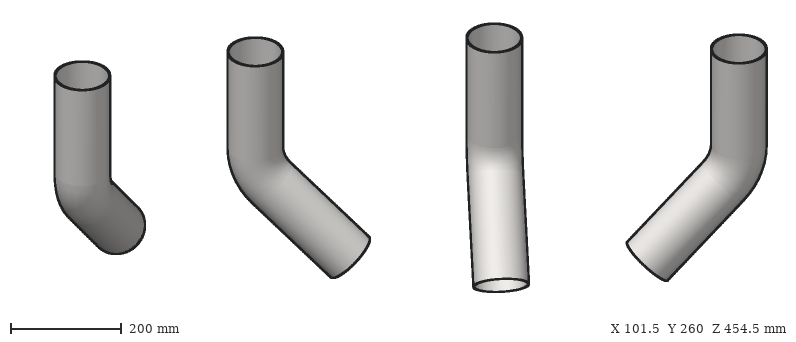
import cadquery as cq
import math

overall_height = 454.5
outer_diameter = 101.5
inner_diameter = 97.5
bend_angle = 45.0
bend_radius = outer_diameter

angle = math.radians(bend_angle)
elbow_drop = bend_radius * math.sin(angle)
end_rim_drop = outer_diameter / 2 * math.sin(angle)
leg_length = (overall_height - elbow_drop - end_rim_drop) / (1 + math.cos(angle))

elbow_end = (bend_radius * (1 - math.cos(angle)), -elbow_drop)
elbow_middle = (
    bend_radius * (1 - math.cos(angle / 2)),
    -bend_radius * math.sin(angle / 2),
)
lower_end = (
    elbow_end[0] + leg_length * math.sin(angle),
    elbow_end[1] - leg_length * math.cos(angle),
)

centreline = (
    cq.Workplane("YZ")
    .moveTo(0, leg_length)
    .lineTo(0, 0)
    .threePointArc(elbow_middle, elbow_end)
    .lineTo(*lower_end)
)

result = (
    cq.Workplane("XY", origin=(0, 0, leg_length))
    .circle(outer_diameter / 2)
    .circle(inner_diameter / 2)
    .sweep(centreline)
)